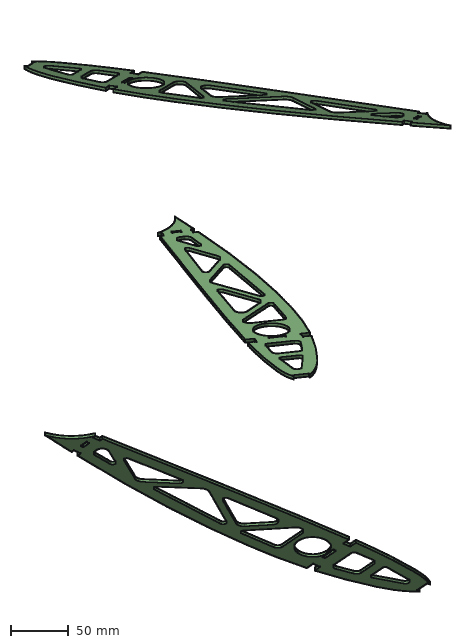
import cadquery as cq
import math

LENGTH = 411.85
HEIGHT = 62.14
THICKNESS = 3.0

NOSE_NOTCH_DEPTH = 3.0
NOSE_NOTCH_TOP = 17.8
NOSE_NOTCH_BOTTOM = 3.2

CAP_NOTCH_WIDTH = 7.7
MAIN_NOTCH = (92.5, 22.8, -19.2)
REAR_NOTCH = (369.2, 21.8, -4.8)

WEB_SLOT_WIDTH = 3.0
MAIN_SLOT = (97.9, -5.6, 15.4)
REAR_SLOT = (373.8, 4.4, 8.4)

NOSE_TOP = (0.0, NOSE_NOTCH_TOP)
NOSE_BOTTOM = (0.0, NOSE_NOTCH_BOTTOM)
CREST = (114.0, HEIGHT / 2)
BELLY = (157.5, -HEIGHT / 2)
TAIL_TIP = (LENGTH, -1.1)
UPPER_FRONT = [(9.0, 22.1), (22.3, 25.2), (49.4, 28.6)]
UPPER_REAR = [(206.3, 30.0), (305.0, 27.4)]
LOWER_FRONT = [(9.0, -3.3), (22.0, -9.8), (49.4, -18.4), (92.4, -26.9)]
LOWER_REAR = [(210.7, -29.5), (305.0, -19.9)]

TAIL_HOLLOW_START = (REAR_NOTCH[0] + CAP_NOTCH_WIDTH, 25.2)
TAIL_HOLLOW_MIDDLE = (388.4, 10.4)

TUBE_CENTER = (117.5, 1.9)
TUBE_DIAMETER = 32.0

NOSE_WINDOW = [(3.5, 10.3, 4.0), (49.1, -5.7, 2.5), (49.1, 16.7, 2.5)]
FRONT_WINDOW = [(58.8, 18.2, 5.0), (58.8, -8.5, 5.0), (85.1, -14.3, 4.5), (85.1, 18.2, 3.5)]
TRUSS_WINDOWS = [
    [(138.4, 27.8, 6.0), (138.4, -19.2, 5.0), (185.4, -19.2, 2.5)],
    [(156.7, 18.9, 6.0), (188.8, -12.6, 7.0), (233.5, 17.9, 3.0)],
    [(191.9, -19.3, 3.0), (289.9, -10.0, 2.6), (247.5, 19.0, 8.0)],
    [(262.8, 16.8, 3.3), (302.9, -10.3, 8.0), (339.5, 14.2, 2.5)],
]
TAIL_WINDOW = [(325.9, -4.2, 2.8), (361.8, 1.2, 5.0), (361.8, 19.3, 6.0)]
WINDOWS = [NOSE_WINDOW, FRONT_WINDOW, *TRUSS_WINDOWS, TAIL_WINDOW]


def rib_blank():
    upper_edge = UPPER_FRONT + [CREST] + UPPER_REAR + [TAIL_HOLLOW_START]
    lower_edge = LOWER_REAR[::-1] + [BELLY] + LOWER_FRONT[::-1] + [NOSE_BOTTOM]
    return (
        cq.Workplane("XY")
        .moveTo(*NOSE_TOP)
        .spline(upper_edge, includeCurrent=True)
        .threePointArc(TAIL_HOLLOW_MIDDLE, TAIL_TIP)
        .spline(lower_edge, includeCurrent=True)
        .close()
        .extrude(THICKNESS)
    )


def box_cutter(left, width, bottom, height):
    return cq.Workplane("XY").box(width, height, THICKNESS, centered=False).translate((left, bottom, 0))


def nose_notch():
    return box_cutter(0, NOSE_NOTCH_DEPTH, NOSE_NOTCH_BOTTOM, NOSE_NOTCH_TOP - NOSE_NOTCH_BOTTOM)


def spar_notches(left, upper_floor, lower_floor):
    upper = box_cutter(left, CAP_NOTCH_WIDTH, upper_floor, HEIGHT)
    lower = box_cutter(left, CAP_NOTCH_WIDTH, lower_floor - HEIGHT, HEIGHT)
    return upper.union(lower)


def web_slot(left, bottom, height):
    return box_cutter(left, WEB_SLOT_WIDTH, bottom, height)


def tube_hole():
    return cq.Workplane("XY").center(*TUBE_CENTER).circle(TUBE_DIAMETER / 2).extrude(THICKNESS)


def corner_arc(previous, corner, following):
    """Start, middle and end of the arc that rounds one corner of a window."""
    x, y, radius = corner
    at = cq.Vector(x, y)
    back = (cq.Vector(*previous[:2]) - at).normalized()
    ahead = (cq.Vector(*following[:2]) - at).normalized()
    half_angle = back.getAngle(ahead) / 2
    tangent_length = radius / math.tan(half_angle)
    middle_distance = radius / math.sin(half_angle) - radius
    middle = at + (back + ahead).normalized() * middle_distance
    return at + back * tangent_length, middle, at + ahead * tangent_length


def window(corners):
    count = len(corners)
    arcs = [corner_arc(corners[i - 1], corners[i], corners[(i + 1) % count]) for i in range(count)]
    outline = cq.Workplane("XY").moveTo(*arcs[-1][2].toTuple()[:2])
    for start, middle, end in arcs:
        outline = outline.lineTo(start.x, start.y).threePointArc(middle, end)
    return outline.close().extrude(THICKNESS)


result = rib_blank().cut(nose_notch()).cut(tube_hole())
for notch in (MAIN_NOTCH, REAR_NOTCH):
    result = result.cut(spar_notches(*notch))
for slot in (MAIN_SLOT, REAR_SLOT):
    result = result.cut(web_slot(*slot))
for corners in WINDOWS:
    result = result.cut(window(corners))